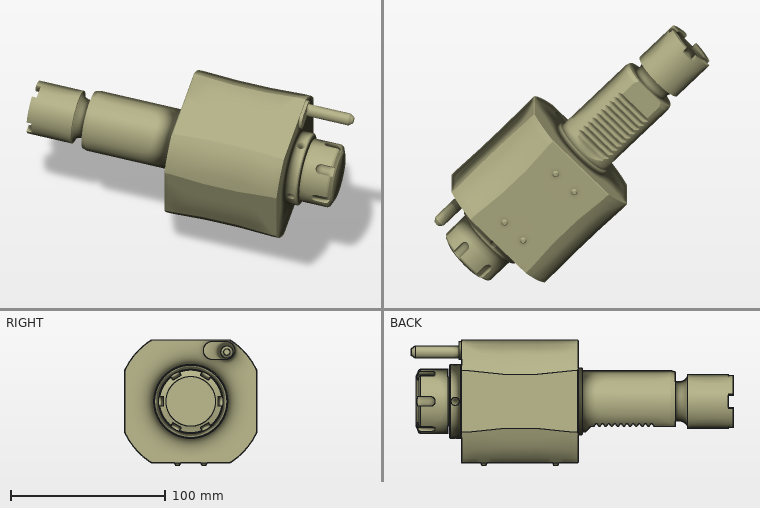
import cadquery as cq
import math


clearance = 2.0

body_length = 75.8
body_width = 86.0
body_height = 80.0
corner_radius = 94.8 / 2
waist_radius = 92.7 / 2
front_band = 4.0
rear_band = 4.5
seat_chamfer = 0.6
recess_radius = 7.7
recess_depth = 0.8
recess_y = 16.0
recess_z = 27.6

stud_radius = 2.0
stud_tip_radius = 1.3
stud_height = 1.7
stud_x_first = 14.7
stud_x_spacing = 46.7
stud_y = 8.5

shank_start = -63.0
shank_radius = 40.0 / 2
shank_lead_length = 3.0
shank_lead_drop = 0.8
flange_radius = 21.8
flange_thickness = 2.7
flange_fillet = 1.0

flat_depth_z = 16.3
flat_end = -8.2
tooth_pitch = 4.0
tooth_depth = 1.78
gap_mouth = 3.3
gap_root = 0.6
gap_count = 10
first_gap_x = -47.5

coupling_start = -100.7
coupling_end = -70.8
coupling_radius = 17.5
coupling_slot_depth = 3.3
coupling_slot_inner = 7.5
coupling_slot_outer = 10.0
coupling_bore_radius = 12.5
coupling_bore_depth = 3.8
neck_radius = 12.8
neck_top_radius = 16.0
neck_curve_length = 5.2

collar_end = 83.7
collar_radius = 24.0
collar_chamfer = 0.6
collar_hole_x = 80.0
collar_hole_radius = 2.7
collar_hole_depth = 3.1
gap_neck_radius = 16.0
nut_start = 84.8
nut_taper_start = 102.5
nut_rim = 103.6
nut_step = 104.7
nut_end = 105.5
nut_radius = 21.0
nut_rim_radius = 20.3
nut_floor_radius = 17.8
nut_end_radius = 16.1
nut_slot_start = 93.0
nut_slot_width = 6.3
nut_slot_count = 6

pin_y = 23.5
pin_z = 32.0
pin_radius = 4.0
pin_tip_radius = 2.0
pin_tip_length = 2.7
overall_length = 209.3
pin_end = coupling_start + overall_length
plate_y = 18.5
plate_z = 33.0
plate_length = 20.5
plate_height = 11.7
plate_thickness = 1.9


def cylinder(x_start, x_end, radius, y=0, z=0):
    """Round bar along X."""
    plane = cq.Workplane("YZ", origin=(x_start, y, z))
    return plane.circle(radius).extrude(x_end - x_start)


def turned(profile):
    """Revolve a closed XZ profile about the tool axis."""
    return profile.close().revolve(360, (0, 0, 0), (1, 0, 0))


def make_body():
    block = cq.Workplane("YZ").rect(body_width, body_height).extrude(body_length)
    block = block.faces("<X").chamfer(seat_chamfer)
    waist_start = front_band
    waist_end = body_length - rear_band
    envelope = turned(
        cq.Workplane("XZ")
        .moveTo(0, 0)
        .lineTo(0, corner_radius)
        .lineTo(waist_start, corner_radius)
        .threePointArc(((waist_start + waist_end) / 2, waist_radius), (waist_end, corner_radius))
        .lineTo(body_length, corner_radius)
        .lineTo(body_length, 0)
    )
    recess = cylinder(0, recess_depth, recess_radius, recess_y, recess_z)
    return block.intersect(envelope).cut(recess)


def make_studs():
    points = [
        (stud_x_first + column * stud_x_spacing, side * stud_y)
        for column in (0, 1)
        for side in (-1, 1)
    ]
    taper = math.degrees(math.atan2(stud_radius - stud_tip_radius, stud_height))
    plane = cq.Workplane("XY", origin=(0, 0, -body_height / 2))
    return plane.pushPoints(points).circle(stud_radius).extrude(-stud_height, taper=taper)


def make_shank():
    lead_end = shank_start + shank_lead_length
    shank = turned(
        cq.Workplane("XZ")
        .moveTo(shank_start, 0)
        .lineTo(shank_start, shank_radius - shank_lead_drop)
        .lineTo(lead_end, shank_radius)
        .lineTo(0, shank_radius)
        .lineTo(0, 0)
    )
    flange = cylinder(-flange_thickness, 0, flange_radius).faces("<X").edges().fillet(flange_fillet)
    return shank.cut(make_clamping_flat()).union(flange)


def make_clamping_flat():
    """Material removed below the flat, with the tooth gaps cut above it."""
    root_z = tooth_depth - flat_depth_z
    bottom_z = -flange_radius
    cutter = (
        cq.Workplane("XZ")
        .moveTo(shank_start, -flat_depth_z)
        .lineTo(flat_end, -flat_depth_z)
        .lineTo(flat_end + flange_radius - flat_depth_z, bottom_z)
        .lineTo(shank_start, bottom_z)
        .close()
        .extrude(shank_radius, both=True)
    )
    for index in range(gap_count):
        x = first_gap_x + index * tooth_pitch
        gap = (
            cq.Workplane("XZ")
            .moveTo(x - gap_mouth / 2, -flat_depth_z)
            .lineTo(x - gap_root / 2, root_z)
            .lineTo(x + gap_root / 2, root_z)
            .lineTo(x + gap_mouth / 2, -flat_depth_z)
            .close()
            .extrude(shank_radius, both=True)
        )
        cutter = cutter.union(gap)
    return cutter


def make_coupling():
    curve_end = coupling_end + neck_curve_length
    curve_drop = neck_top_radius - neck_radius
    curve_radius = (neck_curve_length**2 + curve_drop**2) / (2 * curve_drop)
    half_angle = math.asin(neck_curve_length / curve_radius) / 2
    curve_mid = (
        curve_end - curve_radius * math.sin(half_angle),
        neck_radius + curve_radius * (1 - math.cos(half_angle)),
    )
    coupling = turned(
        cq.Workplane("XZ")
        .moveTo(coupling_start, 0)
        .lineTo(coupling_start, coupling_radius)
        .lineTo(coupling_end, coupling_radius)
        .lineTo(coupling_end, neck_top_radius)
        .threePointArc(curve_mid, (curve_end, neck_radius))
        .lineTo(shank_start, neck_radius)
        .lineTo(shank_start, 0)
    )
    bore = cylinder(coupling_start, coupling_start + coupling_bore_depth, coupling_bore_radius)
    coupling = coupling.cut(bore)
    slot = (
        cq.Workplane("YZ", origin=(coupling_start, 0, 0))
        .moveTo(-coupling_slot_inner / 2, coupling_bore_radius - clearance)
        .lineTo(coupling_slot_inner / 2, coupling_bore_radius - clearance)
        .lineTo(coupling_slot_outer / 2, coupling_radius + clearance)
        .lineTo(-coupling_slot_outer / 2, coupling_radius + clearance)
        .close()
        .extrude(coupling_slot_depth)
    )
    for quarter in range(4):
        coupling = coupling.cut(slot.rotate((0, 0, 0), (1, 0, 0), 90 * quarter))
    return coupling


def make_collar():
    collar = cylinder(body_length, collar_end, collar_radius).edges().chamfer(collar_chamfer)
    hole = cq.Workplane("XY").add(
        cq.Solid.makeCone(
            0,
            collar_hole_radius,
            collar_hole_depth,
            pnt=cq.Vector(collar_hole_x, 0, collar_radius - collar_hole_depth),
        )
    )
    for quarter in range(4):
        collar = collar.cut(hole.rotate((0, 0, 0), (1, 0, 0), 90 * quarter))
    return collar.union(cylinder(collar_end, nut_start, gap_neck_radius))


def make_nut():
    nut = turned(
        cq.Workplane("XZ")
        .moveTo(nut_start, 0)
        .lineTo(nut_start, nut_radius)
        .lineTo(nut_taper_start, nut_radius)
        .lineTo(nut_rim, nut_rim_radius)
        .lineTo(nut_step, nut_floor_radius)
        .lineTo(nut_end, nut_end_radius)
        .lineTo(nut_end, 0)
    )
    half_width = nut_slot_width / 2
    slot = (
        cq.Workplane("XZ", origin=(0, -nut_floor_radius, 0))
        .moveTo(nut_end, half_width)
        .lineTo(nut_slot_start + half_width, half_width)
        .threePointArc((nut_slot_start, 0), (nut_slot_start + half_width, -half_width))
        .lineTo(nut_end, -half_width)
        .close()
        .extrude(nut_radius)
    )
    for index in range(nut_slot_count):
        nut = nut.cut(slot.rotate((0, 0, 0), (1, 0, 0), index * 360 / nut_slot_count))
    return nut


def make_pin():
    pin = cylinder(body_length, pin_end, pin_radius, pin_y, pin_z)
    pin = pin.faces(">X").chamfer(pin_tip_length, pin_radius - pin_tip_radius)
    plate = (
        cq.Workplane("YZ", origin=(body_length, plate_y, plate_z))
        .slot2D(plate_length, plate_height)
        .extrude(plate_thickness)
    )
    return pin.union(plate)


result = make_body()
for piece in (make_studs(), make_shank(), make_coupling(), make_collar(), make_nut(), make_pin()):
    result = result.union(piece)